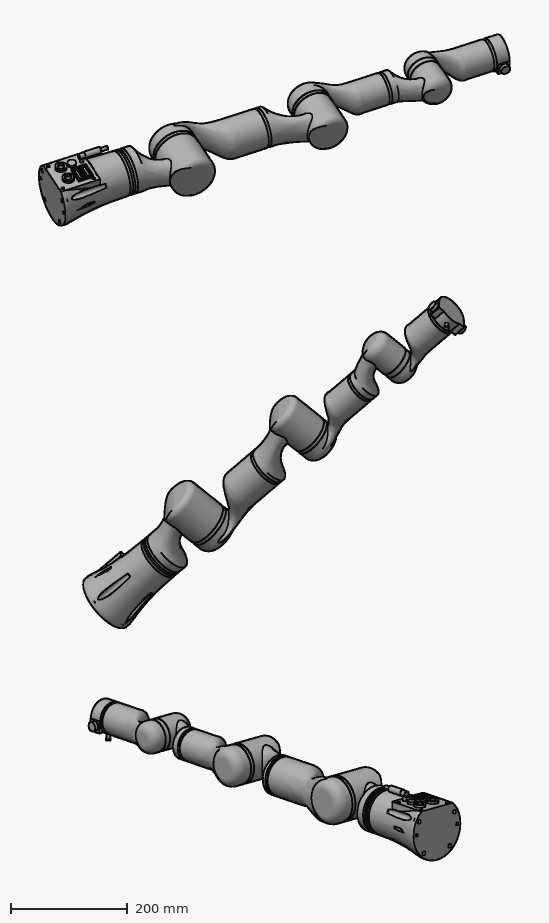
import cadquery as cq
import math


ARM_LENGTH = 850.5
ALONG_ARM = (0, 1)

FOOT_RADIUS = 54.5
FOOT_RIM = 8.0
FLARE_POINTS = ((48.0, 42.0), (42.5, 81.0))
FLARE_DIRECTION = (-0.2, 1)
PANEL_HEIGHT = 41.0
PANEL_WIDTH = 72.0
PANEL_LENGTH = 74.0
PANEL_BOX_BOTTOM = 21.0
PANEL_SCREW_RADIUS = 2.5
PANEL_SCREW_DEPTH = 2.5
PANEL_SCREW_X = 30.0
PANEL_SCREW_ROWS = (7.0, 65.0)
BOLT_CIRCLE = 47.0
BOLT_ANGLES = (30.0, 150.0, -50.0, -130.0)
BOLT_HOLE_RADIUS = 3.0
BOLT_CHANNEL_RADIUS = 6.0
BOLT_CHANNEL_END = 85.0
DOWEL_RADIUS = 2.5
DOWEL_DEPTH = 59.5

CONNECTOR_RISE = 4.0
SOCKET_RADIUS = 10.0
SOCKET_BORE = 6.0
SOCKET_Y = 25.0
LEFT_COLUMN_X = -17.0
RIGHT_SOCKET_X = 13.0
BUTTON_RADIUS = 8.0
BUTTON_Y = 45.0
PORT_X = 11.0
PORT_LENGTH = 31.0
PORT_WIDTH = 12.0
PORT_WALL = 2.5
PORT_ROWS = (44.0, 59.5)

ANTENNA_Y = 64.0
ANTENNA_Z = 54.0
ANTENNA_POST_RADIUS = 3.0
ANTENNA_HUB_RADIUS = 5.0
ANTENNA_HUB_LENGTH = 10.0
ANTENNA_SLEEVE_RADIUS = 6.0
ANTENNA_SLEEVE_LENGTH = 30.0
ANTENNA_TIP_RADIUS = 3.0
ANTENNA_TIP_END = 112.0

GROOVE_WIDTH = 5.0
GROOVE_DEPTH = 1.0
TRIM_GROOVE_START = 139.0

SHOULDER_RADIUS = 41.0
ELBOW_RADIUS = 36.0
WRIST_RADIUS = 29.0
SHOULDER_SPLIT = 129.0
ELBOW_SPLIT = 393.0
WRIST_SPLIT = 624.0
FLANGE_SPLIT = 822.0

SHOULDER_AXIS = 239.0
ELBOW_AXIS = 495.0
WRIST_AXIS = 706.0

CAP_ROUND = 17.0
SLOPE_CLEARANCE = 17.0
SLOPE_DIRECTION = (0.5, 1)

SWING_INSET = 8.5
SWING_MARGIN = 1.0
SWING_FILL = 0.95
LIP_FILL = 0.97

FITTING_Z = -11.0
FITTING_SIZE = 22.0
FITTING_PAD_REACH = 30.0
FITTING_RADIUS = 8.5
FITTING_REACH = 36.5
FITTING_Y = 839.5
PIN_RADIUS = 3.0
PIN_HEAD_RADIUS = 4.0
PIN_HEAD_THICKNESS = 2.5
PIN_REACH = 42.5
PIN_Y = 838.0


def tube(radius, start, end, x=0.0, z=0.0):
    """Cylinder along Y from start to end."""
    return cq.Workplane(cq.Solid.makeCylinder(radius, end - start, cq.Vector(x, start, z), cq.Vector(0, 1, 0)))


def cross_tube(radius, left, right, y, z=0.0):
    """Cylinder along X from left to right."""
    return cq.Workplane(cq.Solid.makeCylinder(radius, right - left, cq.Vector(left, y, z), cq.Vector(1, 0, 0)))


def post(radius, bottom, top, x, y):
    """Cylinder along Z from bottom to top."""
    return cq.Workplane(cq.Solid.makeCylinder(radius, top - bottom, cq.Vector(x, y, bottom)))


def oval(y, left, right, half_height):
    """Ellipse in a plane of constant Y, spanning left to right in X."""
    center = cq.Vector((left + right) / 2, y, 0)
    return cq.Wire.makeEllipse(half_height, (right - left) / 2, center, cq.Vector(0, 1, 0), cq.Vector(0, 0, 1))


def blend(*sections):
    """Smooth skin through ovals given as (y, left, right, half height)."""
    return cq.Workplane(cq.Solid.makeLoft([oval(*section) for section in sections]))


def joint_tube(radius, start, end):
    """Tube along Y whose first stretch is stepped in to form the joint groove."""
    collar = tube(radius - GROOVE_DEPTH, start, start + GROOVE_WIDTH)
    return collar.union(tube(radius, start + GROOVE_WIDTH, end))


def slope_cut(neck_y, neck_right, axis, right):
    """Region outside the curve that sweeps from the neck out to the end of a housing."""
    far_right = right + SLOPE_CLEARANCE
    return (
        cq.Workplane("XY", origin=(0, 0, -FOOT_RADIUS))
        .moveTo(neck_right, neck_y)
        .spline([(right, axis)], tangents=[SLOPE_DIRECTION, ALONG_ARM], includeCurrent=True)
        .lineTo(far_right, axis)
        .lineTo(far_right, neck_y)
        .close()
        .extrude(2 * FOOT_RADIUS)
    )


def elbow(radius, split, bulb, neck, axis, seam, left, right, end_round):
    """Tube on the roll axis that swings to +X and ends in a cross housing.

    bulb is the Y where the tube starts to narrow, neck is the narrowest oval,
    and the housing spans left to right with a groove between seam and left.
    """
    neck_y, _, neck_right, _ = neck
    body = joint_tube(radius, split, bulb)
    swing = blend(
        (bulb, -radius, radius, radius),
        neck,
        (axis, left + SWING_INSET, right - SWING_MARGIN, SWING_FILL * radius),
    )
    housing = cross_tube(radius, left, right, axis).faces(">X").edges().fillet(end_round)
    collar = cross_tube(radius - GROOVE_DEPTH, seam, left, axis)
    arm_end = swing.union(housing).union(collar).cut(slope_cut(neck_y, neck_right, axis, right))
    return body.union(arm_end)


def forearm(cap_radius, axis, cap_left, seam, neck, slope, lip, tube_radius, tube_start, split):
    """Round cap on a cross axis that swings back to a tube on the roll axis.

    neck is the oval just clear of the cap, slope is the oval halfway up to the
    tube, and lip is the Y down to which the tube keeps nearly its full width.
    """
    cap = cross_tube(cap_radius, cap_left, seam, axis).faces("<X").edges().fillet(CAP_ROUND)
    swing = blend(
        (axis, cap_left + SWING_MARGIN, seam, SWING_FILL * cap_radius),
        neck,
        slope,
        (lip, -tube_radius, LIP_FILL * tube_radius, tube_radius),
        (tube_start, -tube_radius, tube_radius, tube_radius),
    )
    return cap.union(swing).union(tube(tube_radius, tube_start, split))


def flared_body():
    """Tube that flares into a wide foot."""
    profile = (
        cq.Workplane("XY")
        .lineTo(FOOT_RADIUS, 0)
        .lineTo(FOOT_RADIUS, FOOT_RIM)
        .spline(
            [*FLARE_POINTS, (SHOULDER_RADIUS, SHOULDER_SPLIT)],
            tangents=[FLARE_DIRECTION, ALONG_ARM],
            includeCurrent=True,
        )
        .lineTo(0, SHOULDER_SPLIT)
        .close()
    )
    return profile.revolve(360, (0, 0, 0), (0, 1, 0))


def panel_box(bottom, top, width):
    """Block over the panel area."""
    block = cq.Workplane("XY").box(width, PANEL_LENGTH, top - bottom, centered=(True, False, False))
    return block.translate((0, 0, bottom))


def bolt_cuts():
    """Foot bolts, with channels for their heads, and a dowel on each side."""
    cuts = cq.Workplane()
    for angle in BOLT_ANGLES:
        x = BOLT_CIRCLE * math.cos(math.radians(angle))
        z = BOLT_CIRCLE * math.sin(math.radians(angle))
        cuts = cuts.add(tube(BOLT_HOLE_RADIUS, 0, FOOT_RIM, x, z))
        cuts = cuts.add(tube(BOLT_CHANNEL_RADIUS, FOOT_RIM, BOLT_CHANNEL_END, x, z))
    for x in (-BOLT_CIRCLE, BOLT_CIRCLE):
        cuts = cuts.add(tube(DOWEL_RADIUS, 0, DOWEL_DEPTH, x))
    return cuts


def panel_screws():
    """Screw recesses at the corners of the panel."""
    recesses = cq.Workplane()
    for x in (-PANEL_SCREW_X, PANEL_SCREW_X):
        for y in PANEL_SCREW_ROWS:
            recesses = recesses.add(
                post(PANEL_SCREW_RADIUS, PANEL_HEIGHT - PANEL_SCREW_DEPTH, PANEL_HEIGHT, x, y)
            )
    return recesses


def panel_fittings():
    """Sockets, button and rectangular ports standing on the panel."""
    top = PANEL_HEIGHT + CONNECTOR_RISE
    fittings = post(BUTTON_RADIUS, PANEL_HEIGHT, top, LEFT_COLUMN_X, BUTTON_Y)
    for x in (LEFT_COLUMN_X, RIGHT_SOCKET_X):
        socket = post(SOCKET_RADIUS, PANEL_HEIGHT, top, x, SOCKET_Y)
        fittings = fittings.union(socket.cut(post(SOCKET_BORE, PANEL_HEIGHT, top, x, SOCKET_Y)))
    for y in PORT_ROWS:
        port = (
            cq.Workplane("XY", origin=(PORT_X, y, PANEL_HEIGHT))
            .rect(PORT_LENGTH, PORT_WIDTH)
            .rect(PORT_LENGTH - 2 * PORT_WALL, PORT_WIDTH - 2 * PORT_WALL)
            .extrude(CONNECTOR_RISE)
        )
        fittings = fittings.union(port)
    return fittings


def antenna():
    """Antenna lying along Y on a short post."""
    hub_start = ANTENNA_Y - ANTENNA_HUB_LENGTH / 2
    hub_end = ANTENNA_Y + ANTENNA_HUB_LENGTH / 2
    sleeve_end = hub_end + ANTENNA_SLEEVE_LENGTH
    foot = post(ANTENNA_POST_RADIUS, PANEL_HEIGHT, ANTENNA_Z, LEFT_COLUMN_X, ANTENNA_Y)
    hub = tube(ANTENNA_HUB_RADIUS, hub_start, hub_end, LEFT_COLUMN_X, ANTENNA_Z)
    sleeve = tube(ANTENNA_SLEEVE_RADIUS, hub_end, sleeve_end, LEFT_COLUMN_X, ANTENNA_Z)
    tip = tube(ANTENNA_TIP_RADIUS, sleeve_end, ANTENNA_TIP_END, LEFT_COLUMN_X, ANTENNA_Z)
    return foot.union(hub).union(sleeve).union(tip)


def make_base():
    body = flared_body().cut(panel_box(PANEL_HEIGHT, 2 * FOOT_RADIUS, 2 * FOOT_RADIUS))
    body = body.union(panel_box(PANEL_BOX_BOTTOM, PANEL_HEIGHT, PANEL_WIDTH))
    for cutter in bolt_cuts().vals() + panel_screws().vals():
        body = body.cut(cq.Workplane(cutter))
    return body.union(panel_fittings()).union(antenna())


def make_flange():
    body = joint_tube(WRIST_RADIUS, FLANGE_SPLIT, ARM_LENGTH)
    pad = cq.Workplane("XY").box(2 * FITTING_PAD_REACH, FITTING_SIZE, FITTING_SIZE)
    body = body.union(pad.translate((0, FITTING_Y, FITTING_Z)))
    body = body.union(cross_tube(FITTING_RADIUS, -FITTING_REACH, FITTING_REACH, FITTING_Y, FITTING_Z))
    body = body.union(post(PIN_RADIUS, -PIN_REACH, 0, 0, PIN_Y))
    return body.union(post(PIN_HEAD_RADIUS, -PIN_REACH, PIN_HEAD_THICKNESS - PIN_REACH, 0, PIN_Y))


def make_shoulder():
    body = elbow(
        radius=SHOULDER_RADIUS,
        split=SHOULDER_SPLIT,
        bulb=158.0,
        neck=(189.0, 5.0, 48.0, 25.5),
        axis=SHOULDER_AXIS,
        seam=-15.0,
        left=-8.5,
        right=69.0,
        end_round=11.0,
    )
    groove_end = TRIM_GROOVE_START + GROOVE_WIDTH
    ring = tube(SHOULDER_RADIUS, TRIM_GROOVE_START, groove_end)
    ring = ring.cut(tube(SHOULDER_RADIUS - GROOVE_DEPTH, TRIM_GROOVE_START, groove_end))
    return body.cut(ring)


base = make_base()
shoulder = make_shoulder()
upper_arm = forearm(
    cap_radius=SHOULDER_RADIUS,
    axis=SHOULDER_AXIS,
    cap_left=-46.0,
    seam=-15.0,
    neck=(289.0, -42.0, -14.0, 28.0),
    slope=(310.5, -38.0, 19.0, 31.0),
    lip=327.0,
    tube_radius=ELBOW_RADIUS,
    tube_start=332.5,
    split=ELBOW_SPLIT,
)
elbow_link = elbow(
    radius=ELBOW_RADIUS,
    split=ELBOW_SPLIT,
    bulb=405.0,
    neck=(439.0, 6.0, 42.0, 27.0),
    axis=ELBOW_AXIS,
    seam=-13.0,
    left=-6.0,
    right=67.0,
    end_round=11.0,
)
lower_arm = forearm(
    cap_radius=ELBOW_RADIUS,
    axis=ELBOW_AXIS,
    cap_left=-45.0,
    seam=-13.0,
    neck=(537.5, -36.0, -10.0, 23.0),
    slope=(554.5, -31.0, 14.0, 25.0),
    lip=566.5,
    tube_radius=WRIST_RADIUS,
    tube_start=577.0,
    split=WRIST_SPLIT,
)
wrist = elbow(
    radius=WRIST_RADIUS,
    split=WRIST_SPLIT,
    bulb=641.0,
    neck=(666.0, 6.0, 40.0, 21.0),
    axis=WRIST_AXIS,
    seam=-13.0,
    left=-2.5,
    right=54.5,
    end_round=15.0,
)
hand = forearm(
    cap_radius=WRIST_RADIUS,
    axis=WRIST_AXIS,
    cap_left=-40.0,
    seam=-13.0,
    neck=(739.0, -32.0, -12.0, 21.0),
    slope=(753.0, -31.0, 10.0, 25.0),
    lip=764.0,
    tube_radius=WRIST_RADIUS,
    tube_start=772.0,
    split=FLANGE_SPLIT,
)
flange = make_flange()

bodies = [base, shoulder, upper_arm, elbow_link, lower_arm, wrist, hand, flange]
result = cq.Compound.makeCompound([body.solids().val() for body in bodies])